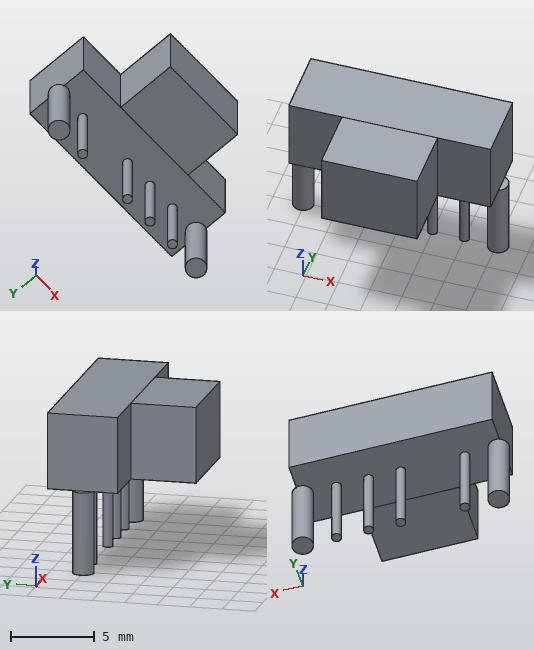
import cadquery as cq


total_length = 13.5
total_depth = 8.3
total_height = 9.8

housing_length = 12.65
slider_depth = 4.0
housing_depth = total_depth - slider_depth
block_height = 4.7

pin_pitch = 2.0
pin_diameter = 0.6
pin_steps = [-2, 0, 1, 2]

slider_width = 3 * pin_pitch

post_diameter = 1.3
post_offset = (total_length - post_diameter) / 2
leg_length = total_height - block_height


def make_block(length, depth, center_y):
    """Rectangular block standing on the bottom plane of the housing."""
    return (
        cq.Workplane("XY")
        .center(0, center_y)
        .rect(length, depth)
        .extrude(block_height)
    )


def make_leg(x, diameter):
    """Round leg hanging from the bottom plane of the housing."""
    return cq.Workplane("XY").center(x, 0).circle(diameter / 2).extrude(-leg_length)


housing = make_block(housing_length, housing_depth, 0)

slider = make_block(slider_width, slider_depth, -(housing_depth + slider_depth) / 2)

contact_pins = []
for step in pin_steps:
    contact_pins.append(make_leg(step * pin_pitch, pin_diameter).val())

mounting_posts = []
for side in (-1, 1):
    mounting_posts.append(make_leg(side * post_offset, post_diameter).val())

result = cq.Compound.makeCompound(
    [housing.val(), slider.val(), *contact_pins, *mounting_posts]
)